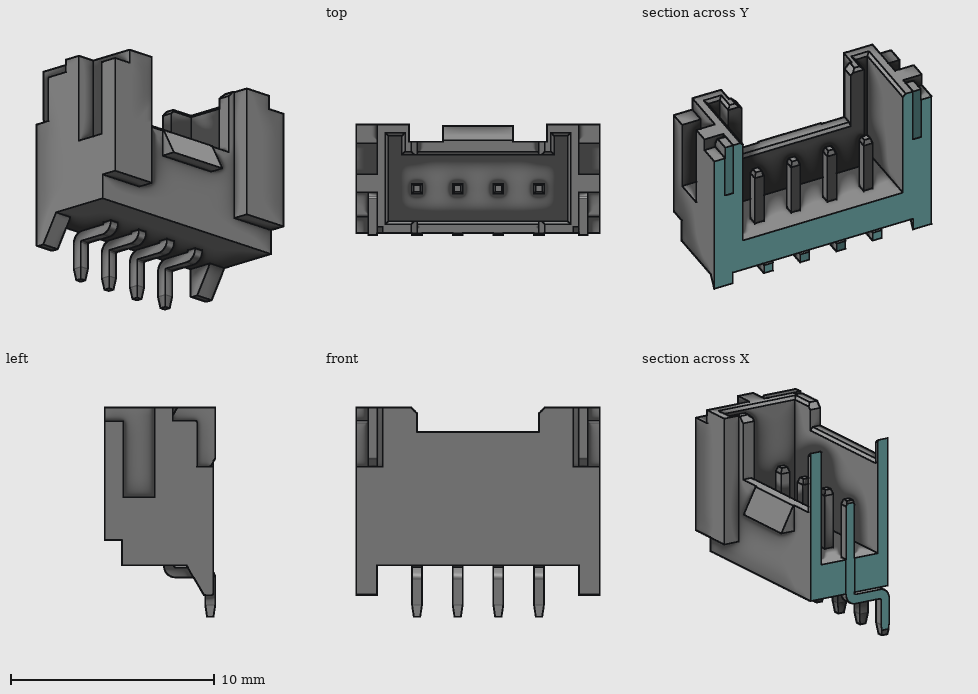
import cadquery as cq
import math


LENGTH = 12.0
DEPTH = 5.35
HEIGHT = 7.76
CORE_HALF_LENGTH = 4.97
WALL_BACK_Y = 4.5
COLUMN_INNER_X = 3.38
COLUMN_FOOT_Z = 1.24

LEG_DROP = 1.46
LEG_TOP_DEPTH = 1.33
LEG_FOOT_DEPTH = 0.47

CAVITY_HALF_LENGTH = 4.4
CAVITY_FRONT_Y = 0.59
CAVITY_BACK_Y = 3.85
CAVITY_POCKET_Y = 4.78
CAVITY_POCKET_X = 3.75
FLOOR_THICKNESS = 0.56
CAVITY_FLOOR_Z = COLUMN_FOOT_Z + FLOOR_THICKNESS
RIM_CHAMFER = 0.15

WINDOW_HALF_LENGTH = 3.0
WINDOW_CHAMFER = 0.29
FRONT_SILL_Z = HEIGHT - 1.2
BACK_SILL_Z = HEIGHT - 3.2

LATCH_HALF_LENGTH = 1.73
LATCH_ROOT_Y = 4.57
LATCH_TIP_Y = 5.27
LATCH_HEIGHT = 1.32

BACK_SHELF_Z = HEIGHT - 0.68
END_POCKET_Z = HEIGHT - 4.4
END_POCKET_FRONT_Y = 2.89
END_POCKET_BACK_Y = 4.43

TAB_THICKNESS = 0.43
TAB_HEIGHT = 2.9
TAB_BACK_Y = 2.0
TAB_FRONT_Y = -0.1
TAB_BEVEL_DEPTH = 0.23
TAB_BEVEL_HEIGHT = 0.41
TAB_BEVEL_RADIUS = 0.12
TAB_Z = HEIGHT - TAB_HEIGHT
TAB_OUTER_X = CORE_HALF_LENGTH + TAB_THICKNESS

GUARD_Z = HEIGHT - 0.65
GUARD_FRONT_Y = 0.8
NOTCH_INNER_X = 4.68
NOTCH_DEPTH = 0.3
EDGE_RADIUS = 0.1

PIN_COUNT = 4
PIN_PITCH = LENGTH / 6
PIN_SIZE = 0.5
PIN_BACK_Y = 2.44
PIN_FRONT_Y = TAB_FRONT_Y
PIN_TOP_Z = HEIGHT - 2.95
PIN_BOTTOM_Z = -2.53
PIN_FOOT_Z = -0.6
PIN_TIP_SIZE = 0.32
PIN_TOP_TIP_LENGTH = 0.26
PIN_TAIL_TIP_LENGTH = 0.6
BEND_INNER_RADIUS = 0.06
BEND_OUTER_RADIUS = BEND_INNER_RADIUS + PIN_SIZE


def block(x_range, y_range, z_range):
    """Axis-aligned box between pairs of limits."""
    (x0, x1), (y0, y1), (z0, z1) = x_range, y_range, z_range
    return cq.Workplane("XY").box(x1 - x0, y1 - y0, z1 - z0, centered=False).translate((x0, y0, z0))


def both_ends(shape):
    """The shape at the left end together with its mirror image at the right end."""
    return shape.union(shape.mirror("YZ"))


def side_profile(points, x_start, width):
    """Prism along X from an outline of (y, z) points."""
    return cq.Workplane("YZ").polyline(points).close().extrude(width).translate((x_start, 0, 0))


def cavity_outline(z, growth):
    """Cavity outline at height z, with every wall moved outward by growth."""
    end_x = CAVITY_HALF_LENGTH + growth
    pocket_x = CAVITY_POCKET_X - growth
    front_y = CAVITY_FRONT_Y - growth
    back_y = CAVITY_BACK_Y + growth
    pocket_y = CAVITY_POCKET_Y + growth
    points = [
        (-end_x, front_y),
        (end_x, front_y),
        (end_x, pocket_y),
        (pocket_x, pocket_y),
        (pocket_x, back_y),
        (-pocket_x, back_y),
        (-pocket_x, pocket_y),
        (-end_x, pocket_y),
    ]
    return cq.Workplane("XY").workplane(offset=z).polyline(points).close()


def rim_chamfer(z):
    """Flared cutter that bevels the cavity edge of a wall whose top is at height z."""
    lower = cavity_outline(z - RIM_CHAMFER, 0).wires().val()
    upper = cavity_outline(z, RIM_CHAMFER).wires().val()
    return cq.Workplane(cq.Solid.makeLoft([lower, upper], True))


def housing_shell():
    """Body with corner columns and legs."""
    end_profile = [
        (0, -LEG_DROP),
        (LEG_FOOT_DEPTH, -LEG_DROP),
        (LEG_TOP_DEPTH, 0),
        (WALL_BACK_Y, 0),
        (WALL_BACK_Y, COLUMN_FOOT_Z),
        (DEPTH, COLUMN_FOOT_Z),
        (DEPTH, HEIGHT),
        (0, HEIGHT),
    ]
    body = side_profile(end_profile, -LENGTH / 2, LENGTH)
    body = body.edges("|X and <Y and <Z").fillet(EDGE_RADIUS)
    leg_gap = block((-CORE_HALF_LENGTH, CORE_HALF_LENGTH), (0, DEPTH), (-LEG_DROP, 0))
    column_gap = block((-COLUMN_INNER_X, COLUMN_INNER_X), (WALL_BACK_Y, DEPTH), (0, HEIGHT))
    return body.cut(leg_gap).cut(column_gap)


def window_cutter(sill_z, y_start, y_end):
    """Opening above a sill, with chamfered upper corners, through the wall between two Y limits."""
    wide_x = WINDOW_HALF_LENGTH + WINDOW_CHAMFER
    points = [
        (-WINDOW_HALF_LENGTH, sill_z),
        (WINDOW_HALF_LENGTH, sill_z),
        (WINDOW_HALF_LENGTH, HEIGHT - WINDOW_CHAMFER),
        (wide_x, HEIGHT),
        (-wide_x, HEIGHT),
        (-WINDOW_HALF_LENGTH, HEIGHT - WINDOW_CHAMFER),
    ]
    opening = cq.Workplane("XZ").polyline(points).close().extrude(y_start - y_end)
    return opening.translate((0, y_start, 0)).union(sill_chamfer(sill_z, y_start, y_end))


def sill_chamfer(sill_z, y_start, y_end):
    """Part of the rim bevel that runs along one window sill."""
    sill_x = (-WINDOW_HALF_LENGTH, WINDOW_HALF_LENGTH)
    return rim_chamfer(sill_z).intersect(block(sill_x, (y_start, y_end), (0, HEIGHT)))


def cavity_cutter():
    """Cavity with a bevelled upper rim."""
    cavity = cavity_outline(CAVITY_FLOOR_Z, 0).extrude(HEIGHT - CAVITY_FLOOR_Z)
    return cavity.union(rim_chamfer(HEIGHT))


def latch():
    """Ramp that slopes down from the sill of the back wall and ends in a flat underside."""
    underside_z = BACK_SILL_Z - LATCH_HEIGHT
    points = [
        (WALL_BACK_Y, BACK_SILL_Z),
        (LATCH_ROOT_Y, BACK_SILL_Z),
        (LATCH_TIP_Y, underside_z),
        (WALL_BACK_Y, underside_z),
    ]
    return side_profile(points, -LATCH_HALF_LENGTH, 2 * LATCH_HALF_LENGTH)


def end_cutters():
    """Recesses at the left end: back shelf, end pocket, tab slot, guard step and front notch."""
    recess_x = (-LENGTH / 2, -CORE_HALF_LENGTH)
    guard_x = (-LENGTH / 2, -TAB_OUTER_X)
    shelf = block(recess_x, (END_POCKET_BACK_Y, DEPTH), (BACK_SHELF_Z, HEIGHT))
    pocket = block(recess_x, (END_POCKET_FRONT_Y, END_POCKET_BACK_Y), (END_POCKET_Z, HEIGHT))
    slot = block((-TAB_OUTER_X, -CORE_HALF_LENGTH), (0, TAB_BACK_Y), (TAB_Z, HEIGHT))
    notch = block((-CORE_HALF_LENGTH, -NOTCH_INNER_X), (0, NOTCH_DEPTH), (TAB_Z, HEIGHT))
    guard_profile = [
        (0, TAB_Z),
        (GUARD_FRONT_Y, TAB_Z),
        (GUARD_FRONT_Y, GUARD_Z),
        (TAB_BACK_Y, GUARD_Z),
        (TAB_BACK_Y, HEIGHT),
        (0, HEIGHT),
    ]
    guard_step = side_profile(guard_profile, guard_x[0], guard_x[1] - guard_x[0])
    inner_corner = cq.selectors.NearestToPointSelector((sum(guard_x) / 2, GUARD_FRONT_Y, GUARD_Z))
    guard_step = guard_step.edges(inner_corner).fillet(EDGE_RADIUS)
    return shelf.union(pocket).union(slot).union(notch).union(guard_step)


def make_housing(pins):
    """Housing with holes that match the pins."""
    housing = housing_shell().union(latch())
    housing = housing.cut(cavity_cutter())
    housing = housing.cut(window_cutter(FRONT_SILL_Z, 0, CAVITY_FRONT_Y))
    housing = housing.cut(window_cutter(BACK_SILL_Z, CAVITY_BACK_Y, WALL_BACK_Y))
    housing = housing.cut(both_ends(end_cutters()))
    for pin in pins:
        housing = housing.cut(pin)
    return housing


def make_tab():
    """Upright plate with rounded bevels at its upper back and lower front corners."""
    points = [
        (TAB_FRONT_Y, HEIGHT),
        (TAB_BACK_Y - TAB_BEVEL_DEPTH, HEIGHT),
        (TAB_BACK_Y, HEIGHT - TAB_BEVEL_HEIGHT),
        (TAB_BACK_Y, TAB_Z),
        (TAB_FRONT_Y + TAB_BEVEL_DEPTH, TAB_Z),
        (TAB_FRONT_Y, TAB_Z + TAB_BEVEL_HEIGHT),
    ]
    tab = side_profile(points, -TAB_OUTER_X, TAB_THICKNESS)
    for corner in (points[1], points[2], points[4], points[5]):
        edge = cq.selectors.NearestToPointSelector((-TAB_OUTER_X + TAB_THICKNESS / 2, *corner))
        tab = tab.edges(edge).fillet(TAB_BEVEL_RADIUS)
    return tab


def pin_tip(y_center, z_base, z_end):
    """Square tapered end between two heights."""
    return (
        cq.Workplane("XY", origin=(0, y_center, z_base))
        .rect(PIN_SIZE, PIN_SIZE)
        .workplane(offset=z_end - z_base)
        .rect(PIN_TIP_SIZE, PIN_TIP_SIZE)
        .loft(ruled=True)
    )


def make_pin(x):
    """Square pin, bent forward under the housing and down again, tapered at both ends."""
    top_z = PIN_TOP_Z - PIN_TOP_TIP_LENGTH
    bottom_z = PIN_BOTTOM_Z + PIN_TAIL_TIP_LENGTH
    run_top_z = PIN_FOOT_Z + PIN_SIZE
    upright_front_y = PIN_BACK_Y - PIN_SIZE
    tail_back_y = PIN_FRONT_Y + PIN_SIZE
    back_bend = (PIN_BACK_Y - BEND_OUTER_RADIUS, PIN_FOOT_Z + BEND_OUTER_RADIUS)
    front_bend = (PIN_FRONT_Y + BEND_OUTER_RADIUS, run_top_z - BEND_OUTER_RADIUS)
    diagonal = math.sqrt(0.5)
    outer = BEND_OUTER_RADIUS * diagonal
    inner = BEND_INNER_RADIUS * diagonal
    stem = (
        cq.Workplane("YZ")
        .moveTo(PIN_BACK_Y, top_z)
        .lineTo(PIN_BACK_Y, back_bend[1])
        .threePointArc((back_bend[0] + outer, back_bend[1] - outer), (back_bend[0], PIN_FOOT_Z))
        .lineTo(front_bend[0], PIN_FOOT_Z)
        .threePointArc((front_bend[0] - inner, front_bend[1] + inner), (tail_back_y, front_bend[1]))
        .lineTo(tail_back_y, bottom_z)
        .lineTo(PIN_FRONT_Y, bottom_z)
        .lineTo(PIN_FRONT_Y, front_bend[1])
        .threePointArc((front_bend[0] - outer, front_bend[1] + outer), (front_bend[0], run_top_z))
        .lineTo(back_bend[0], run_top_z)
        .threePointArc((back_bend[0] + inner, back_bend[1] - inner), (upright_front_y, back_bend[1]))
        .lineTo(upright_front_y, top_z)
        .close()
        .extrude(PIN_SIZE / 2, both=True)
    )
    upper_tip = pin_tip(PIN_BACK_Y - PIN_SIZE / 2, top_z, PIN_TOP_Z)
    lower_tip = pin_tip(PIN_FRONT_Y + PIN_SIZE / 2, bottom_z, PIN_BOTTOM_Z)
    return stem.union(upper_tip).union(lower_tip).translate((x, 0, 0))


pins = []
for index in range(PIN_COUNT):
    pin_x = (index - (PIN_COUNT - 1) / 2) * PIN_PITCH
    pins.append(make_pin(pin_x))

housing = make_housing(pins)
left_tab = make_tab()
right_tab = left_tab.mirror("YZ")

result = cq.Compound.makeCompound(
    [housing.val(), left_tab.val(), right_tab.val(), *[pin.val() for pin in pins]]
)